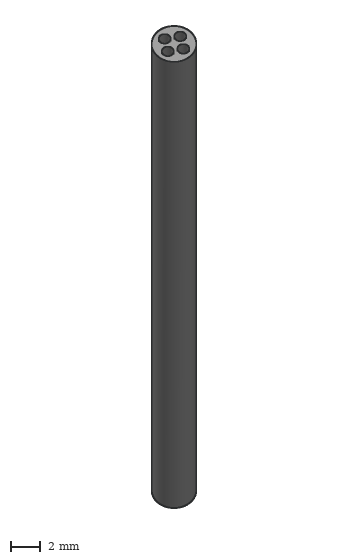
import cadquery as cq

rod_length = 50.0
rod_diameter = 3.0
bore_diameter = 0.8
bore_circle_radius = rod_diameter / 4
bore_count = 4

rod = cq.Workplane("XY").circle(rod_diameter / 2).extrude(rod_length)

bores = (
    cq.Workplane("XY")
    .polarArray(bore_circle_radius, 0, 360, bore_count)
    .circle(bore_diameter / 2)
    .extrude(rod_length)
)

result = rod.cut(bores)